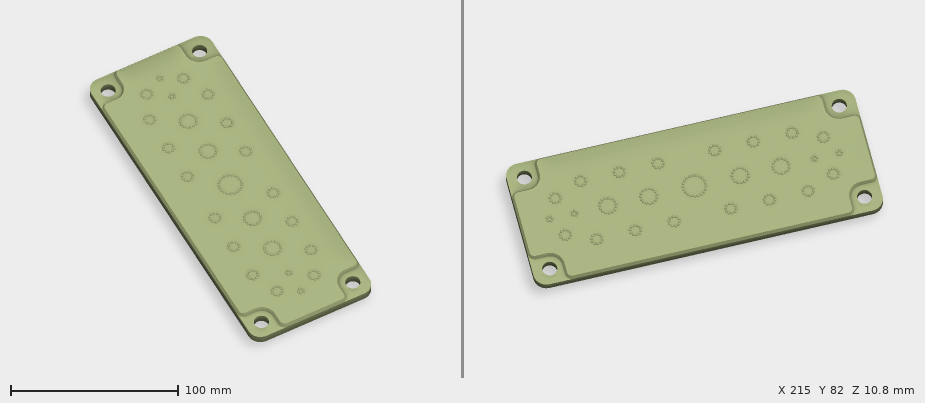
import cadquery as cq
import math

length = 215.0
width = 82.0
plate_height = 5.2
plate_corner_radius = 8.0

hole_spacing_x = 194.0
hole_spacing_y = 62.0
hole_diameter = 9.0

plug_length = 190.0
plug_width = 60.0
plug_height = 3.0

panel_height = 2.0
panel_side_inset = 1.3
notch_length = 18.5
notch_width = 18.0
notch_inner_radius = 7.5
panel_tip_radius = 4.0
panel_top = plate_height + panel_height

stud_height = 0.6
stud_radius = 0.9
stud_spacing = 2.0
sphere_radius = (stud_radius**2 + stud_height**2) / (2 * stud_height)

ring_groups = [
    (6.9, [(0, 0)]),
    (5.0, [(28.2, 0), (53.3, 0)]),
    (3.2, [(17.5, 19.8), (41.3, 19.8), (65.1, 19.8), (82.5, 12.5)]),
    (1.61, [(74.0, 0), (89.2, 0)]),
]


def mirrored(points):
    """The points and their distinct reflections about the X and Y axes."""
    return sorted({(side_x * x, side_y * y) for x, y in points for side_x in (1, -1) for side_y in (1, -1)})


def make_plate():
    plate = cq.Workplane("XY").rect(length, width).extrude(plate_height)
    plate = plate.edges("|Z").fillet(plate_corner_radius)
    holes = mirrored([(hole_spacing_x / 2, hole_spacing_y / 2)])
    return plate.faces(">Z").workplane(origin=(0, 0, plate_height)).pushPoints(holes).hole(hole_diameter)


def make_plug():
    return cq.Workplane("XY").slot2D(plug_length, plug_width).extrude(-plug_height)


def make_panel():
    half_length = length / 2
    half_width = width / 2
    blank = cq.Workplane("XY").rect(length, width).extrude(panel_height)
    notches = (
        cq.Workplane("XY")
        .pushPoints(mirrored([(half_length, half_width)]))
        .rect(2 * notch_length, 2 * notch_width)
        .extrude(panel_height)
        .edges("|Z")
        .fillet(notch_inner_radius)
    )
    blank = blank.cut(notches)
    for side in (">X", "<X", ">Y", "<Y"):
        blank = blank.faces(side).edges("|Z").fillet(panel_tip_radius)

    outline = blank.faces("<Z").wires().val()
    draft = math.degrees(math.atan(panel_side_inset / panel_height))
    panel = cq.Workplane("XY").add(outline).toPending().extrude(panel_height, taper=draft)
    return panel.translate((0, 0, plate_height))


def make_stud():
    """A spherical cap standing on Z = 0."""
    ball = cq.Workplane("XY").sphere(sphere_radius).translate((0, 0, stud_height - sphere_radius))
    cap_space = cq.Workplane("XY").circle(2 * stud_radius).extrude(stud_height)
    return ball.intersect(cap_space).val()


def make_rings(ring_radius, centres):
    stud_count = math.floor(2 * math.pi * ring_radius / stud_spacing)
    stud = make_stud()
    rings = []
    for x, y in mirrored(centres):
        for i in range(stud_count):
            angle = 2 * math.pi * (i + 0.5) / stud_count
            spot_x = x + ring_radius * math.cos(angle)
            spot_y = y + ring_radius * math.sin(angle)
            rings.append(stud.translate(cq.Vector(spot_x, spot_y, panel_top)))
    return cq.Workplane(cq.Compound.makeCompound(rings))


result = make_plate().union(make_plug()).union(make_panel())
for ring_radius, centres in ring_groups:
    result = result.union(make_rings(ring_radius, centres))